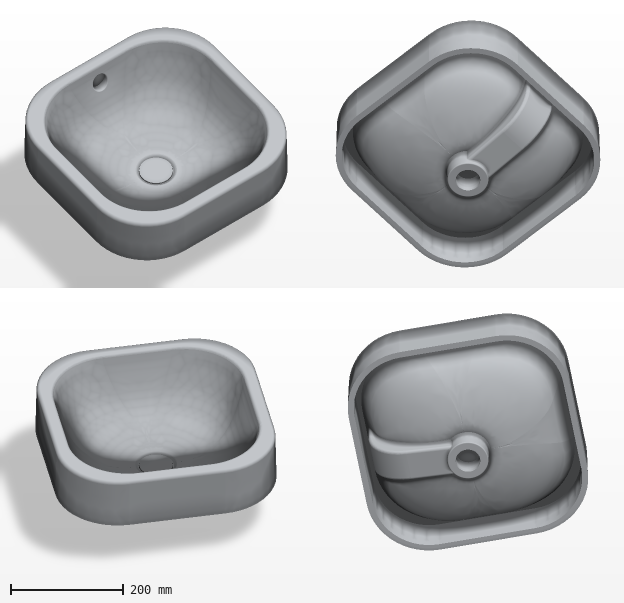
import cadquery as cq
import math


width = 400.0
height = 96.0
corner_radius = 112.8
skirt_draft = 1.3
skirt_wall = 10.8
rim_depth = 20.0
rim_fillet = 7.0
lip_fillet = 6.5

bowl_levels = [
    (36.0, 34.0, -25.5),
    (89.5, 81.5, -20.0),
    (128.8, 100.8, 1.5),
    (150.5, 106.5, 29.0),
    (164.7, 108.0, 62.5),
    (173.0, 108.0, height),
]
shell_levels = [
    (36.0, 34.0, -36.5),
    (94.5, 86.5, -29.0),
    (144.0, 116.0, 0.0),
    (163.0, 119.0, 29.0),
    (175.5, 118.8, 62.5),
    (184.0, 118.8, height - 2.0),
]

pipe_bottom = -71.0
pipe_top = -32.0
pipe_bottom_radius = 36.5
pipe_top_radius = 37.5
pipe_edge_fillet = 2.0
flare_radius = 6.0
flare_top = -36.8

drain_bore = 44.0
seat_radius = 32.0
seat_floor = -37.5
seat_top = -29.5
well_edge_radius = 36.5
well_edge_z = -26.5
well_mouth_radius = 43.5
well_mouth_z = -23.0

overflow_diameter = 30.5
overflow_z = 60.0
overflow_end_x = -172.0
overflow_edge_fillet = 2.0
duct_bend_radius = 76.5
duct_bend_x = -98.8
duct_bend_z = 23.0
duct_slope = 6.6
duct_half_width = 31.5
duct_side_slope = 0.06
duct_edge_fillet = 5.0
duct_joint_fillet = 2.8
pipe_joint_fillet = 2.0

fitting_recess_radius = 30.8
plug_diameter = 60.0
plug_seat = -33.5
plug_edge = -27.5
plug_apex = -23.5


def rounded_square(size, radius):
    return cq.Sketch().rect(size, size).vertices().fillet(radius)


def tapered_block(size, radius, block_height):
    """Rounded square block standing on Z = 0 that narrows upward with the skirt's draft."""
    return cq.Workplane("XY").placeSketch(rounded_square(size, radius)).extrude(block_height, taper=skirt_draft)


def lofted_bowl(levels):
    """Smooth solid through rounded squares of growing size."""
    sections = [
        rounded_square(2 * half_width, radius).moved(cq.Location(cq.Vector(0, 0, z)))
        for half_width, radius, z in levels
    ]
    return cq.Workplane("XY").placeSketch(*sections).loft()


def turned(profile):
    """Revolve a closed XZ profile about the Z axis."""
    return profile.close().revolve(360, (0, 0, 0), (0, 1, 0))


def make_rim():
    skirt = tapered_block(width, corner_radius, height).faces(">Z").edges().fillet(rim_fillet)
    underside = tapered_block(width - 2 * skirt_wall, corner_radius - skirt_wall, height - rim_depth)
    return skirt.cut(underside)


def duct_half_width_at(z):
    return duct_half_width + duct_side_slope * z


def make_duct():
    """Duct that comes down behind the overflow, bends, and slopes toward the tail pipe."""
    slope = math.radians(duct_slope)
    bend_end_x = duct_bend_x - duct_bend_radius * math.sin(slope)
    bend_end_z = duct_bend_z - duct_bend_radius * math.cos(slope)
    bend_middle = math.radians(225 - duct_slope / 2)
    outer_x = duct_bend_x - duct_bend_radius
    top = height - rim_depth

    side_outline = (
        cq.Workplane("XZ")
        .moveTo(0, top)
        .lineTo(outer_x, top)
        .lineTo(outer_x, duct_bend_z)
        .threePointArc(
            (duct_bend_x + duct_bend_radius * math.cos(bend_middle),
             duct_bend_z + duct_bend_radius * math.sin(bend_middle)),
            (bend_end_x, bend_end_z),
        )
        .lineTo(0, bend_end_z + bend_end_x * math.tan(slope))
        .close()
        .extrude(width / 2, both=True)
    )
    top_half = duct_half_width_at(top)
    bottom_half = duct_half_width_at(pipe_bottom)
    tapered_sides = (
        cq.Workplane("YZ", origin=(-width / 2, 0, 0))
        .polyline([(-bottom_half, pipe_bottom), (bottom_half, pipe_bottom), (top_half, top), (-top_half, top)])
        .close()
        .extrude(width / 2)
    )
    duct = side_outline.intersect(tapered_sides)
    outer_side_edges = duct.faces("<X or <Z").edges("not |Y")
    return outer_side_edges.fillet(duct_edge_fillet)


def make_pipe():
    pipe = turned(
        cq.Workplane("XZ")
        .moveTo(0, pipe_bottom)
        .lineTo(pipe_bottom_radius, pipe_bottom)
        .lineTo(pipe_top_radius, flare_top - flare_radius)
        .lineTo(pipe_top_radius, pipe_top)
        .lineTo(0, pipe_top)
    )
    return pipe.faces("<Z").edges().fillet(pipe_edge_fillet)


def edges_in_box(body, corner, opposite_corner):
    return body.edges(cq.selectors.BoxSelector(corner, opposite_corner))


def make_drainage():
    """Duct and tail pipe as one shape, rounded where they meet."""
    drainage = make_duct().union(make_pipe())
    joint = edges_in_box(drainage, (-40, -37.0, -66.0), (-16, 37.0, -34.0))
    return joint.fillet(pipe_joint_fillet)


def make_flare():
    """Concave ring between the tail pipe and the bowl."""
    flare_middle = flare_radius * (1 - math.sqrt(0.5))
    return turned(
        cq.Workplane("XZ")
        .moveTo(0, flare_top - flare_radius)
        .lineTo(pipe_top_radius, flare_top - flare_radius)
        .threePointArc(
            (pipe_top_radius + flare_middle, flare_top - flare_middle),
            (pipe_top_radius + flare_radius, flare_top),
        )
        .lineTo(pipe_top_radius, pipe_top)
        .lineTo(0, pipe_top)
    )


def make_well():
    return turned(
        cq.Workplane("XZ")
        .moveTo(0, pipe_bottom)
        .lineTo(drain_bore / 2, pipe_bottom)
        .lineTo(drain_bore / 2, seat_floor)
        .lineTo(seat_radius, seat_floor)
        .lineTo(seat_radius, seat_top)
        .lineTo(well_edge_radius, well_edge_z)
        .lineTo(well_mouth_radius, well_mouth_z)
        .lineTo(0, well_mouth_z)
    )


def make_overflow_hole():
    return (
        cq.Workplane("YZ", origin=(overflow_end_x, 0, overflow_z))
        .circle(overflow_diameter / 2)
        .extrude(-overflow_end_x / 2)
    )


def make_basin():
    shell = lofted_bowl(shell_levels).union(make_drainage(), clean=False).union(make_flare(), clean=False)
    duct_joint = edges_in_box(shell, (-120, -36, -32), (-72, 36, -12))
    shell = duct_joint.fillet(duct_joint_fillet)
    inside = lofted_bowl(bowl_levels).union(make_well(), clean=False)
    basin = make_rim().union(shell, clean=False).cut(inside, clean=False)

    lip = edges_in_box(basin, (-180, -180, height - 0.5), (180, 180, height + 0.5))
    basin = lip.fillet(lip_fillet)

    basin = basin.cut(make_overflow_hole(), clean=False)
    hole_edge = edges_in_box(basin, (-168, -12, overflow_z - 16), (-152, 12, overflow_z + 16))
    return hole_edge.fillet(overflow_edge_fillet)


def make_fitting():
    """Shallow dish in the well, with the drain bore through its floor."""
    return turned(
        cq.Workplane("XZ")
        .moveTo(drain_bore / 2, seat_floor)
        .lineTo(seat_radius, seat_floor)
        .lineTo(seat_radius, seat_top)
        .lineTo(fitting_recess_radius, seat_top)
        .lineTo(fitting_recess_radius, plug_seat)
        .lineTo(drain_bore / 2, plug_seat)
    )


def make_plug():
    """Domed disc resting on the floor of the fitting."""
    radius = plug_diameter / 2
    rise = plug_apex - plug_edge
    dome_radius = (radius ** 2 + rise ** 2) / (2 * rise)
    half_way_z = plug_apex - dome_radius + math.sqrt(dome_radius ** 2 - (radius / 2) ** 2)
    return turned(
        cq.Workplane("XZ")
        .moveTo(0, plug_seat)
        .lineTo(radius, plug_seat)
        .lineTo(radius, plug_edge)
        .threePointArc((radius / 2, half_way_z), (0, plug_apex))
    )


basin = make_basin()
fitting = make_fitting()
plug = make_plug()

result = cq.Compound.makeCompound([basin.val(), fitting.val(), plug.val()])